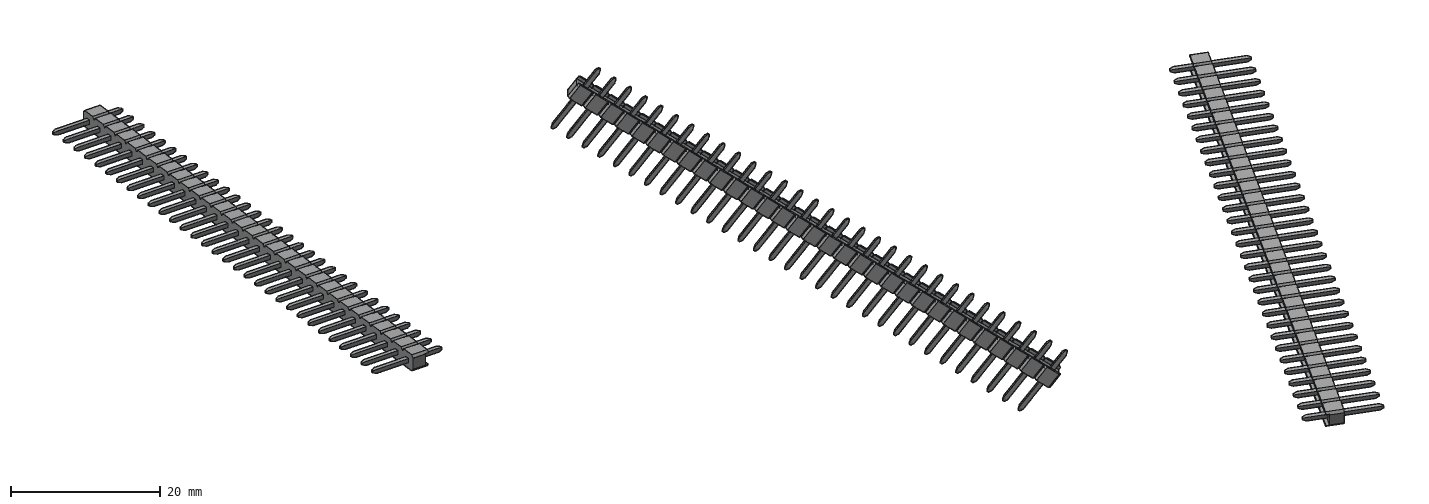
import cadquery as cq

pin_count = 31
row_length = 78.75
body_height = 2.5
overall_depth = 11.2

notch_depth = 0.4
notch_half_width = 0.3

channel_depth = 0.5
channel_height = 1.8

front_pin_length = 5.7
back_pin_length = 3.0
pin_width = 0.64
tip_width = 0.3
tip_length = 0.55
pin_offset = -0.1

pitch = row_length / pin_count
front_end = -overall_depth / 2
back_end = overall_depth / 2
body_front = front_end + front_pin_length
body_back = back_end - back_pin_length


def cross_plane(y):
    """Plane across the pins at depth y, with its normal along +Y and its local y along +Z."""
    return cq.Plane(origin=(0, y, 0), xDir=(-1, 0, 0), normal=(0, 1, 0))


def make_body():
    """Row of joined octagonal blocks with a channel along the +Y face."""
    top = body_height / 2
    valley = top - notch_depth
    upper_edge = []
    for index in range(pin_count):
        left = -row_length / 2 + index * pitch
        right = left + pitch
        upper_edge.append((left, valley))
        upper_edge.append((left + notch_half_width, top))
        upper_edge.append((right - notch_half_width, top))
    upper_edge.append((row_length / 2, valley))
    lower_edge = [(x, -z) for x, z in reversed(upper_edge)]
    outline = cq.Workplane(cross_plane(body_front)).polyline(upper_edge + lower_edge).close()
    body = outline.extrude(body_back - body_front)
    channel = cq.Workplane("XY").box(row_length, channel_depth, channel_height)
    return body.cut(channel.translate((0, body_back - channel_depth / 2, 0)))


def make_tip(base_y, end_y):
    """Blunt pyramid narrowing from the pin width to the tip width."""
    base = cq.Sketch().rect(pin_width, pin_width)
    end = cq.Sketch().rect(tip_width, tip_width).moved(cq.Location(cq.Vector(0, 0, end_y - base_y)))
    return cq.Workplane(cross_plane(base_y)).placeSketch(base, end).loft()


def make_pin():
    """Square pin along Y, tapered at both ends."""
    shank_front = front_end + tip_length
    shank_back = back_end - tip_length
    shank = cq.Workplane(cross_plane(shank_front)).rect(pin_width, pin_width).extrude(shank_back - shank_front)
    return shank.union(make_tip(shank_front, front_end)).union(make_tip(shank_back, back_end))


def make_pins():
    """One pin through every block of the body."""
    first_x = -row_length / 2 + pitch / 2 + pin_offset
    spots = [(first_x + index * pitch, 0) for index in range(pin_count)]
    return cq.Workplane("XY").pushPoints(spots).eachpoint(make_pin().val(), combine=False)


result = make_body().union(make_pins())